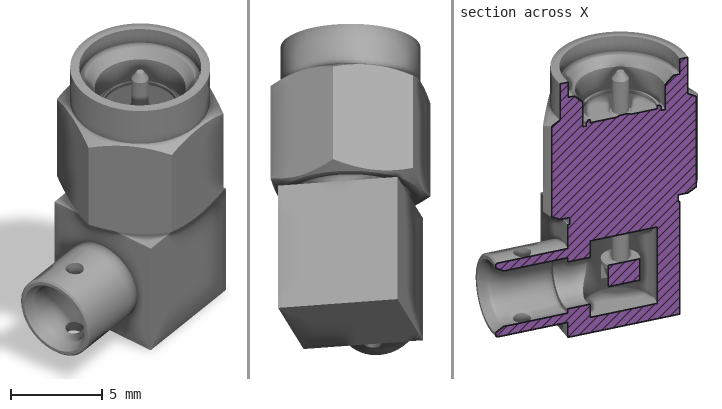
import math

import cadquery as cq


body_top = 7.15
nut_bottom = 7.55
nut_hex_top = 13.85
total_height = 16.15

body_width = 6.7
neck_diameter = 6.6

hex_across_flats = 8.0
hex_sides = 6
half_side_angle = 180 / hex_sides
hex_across_corners = hex_across_flats / math.cos(math.radians(half_side_angle))
nut_rim_radius = 3.85
nut_chamfer_angle = 30
nut_mouth_radius = 3.35
nut_mouth_depth = 0.95
nut_cone_radius = 3.0
nut_bore_radius = 2.5
nut_cone_depth = nut_cone_radius - nut_bore_radius
nut_bore_depth = 3.0

contact_radius = 2.3
contact_inner_radius = 2.05
contact_chamfer = 0.14
contact_top = 13.5
insulator_top = 13.3

pin_radius = 0.47
pin_top = 15.83
pin_tip_radius = 0.2
pin_tip_length = 0.42
shoulder_radius = 0.65
shoulder_chamfer = 0.08
pin_head_radius = 1.08
pin_head_bottom = 2.67
pin_head_top = 4.05
pin_slot_width = 1.0
pin_slot_top = 3.79

chamber_radius = contact_inner_radius
chamber_bottom = 1.0
chamber_top = 5.8

sleeve_axis_height = 3.3
sleeve_end = 7.65
sleeve_radius = 2.4
sleeve_edge_chamfer = 0.1
sleeve_cone_angle = 30
sleeve_mouth_radius = 2.1
sleeve_mouth_depth = 0.5
sleeve_bore_floor = body_width / 2
window_radius = 1.55
vent_diameter = 1.0
vent_offset = 5.85


def rod(radius, start, end):
    """Cylinder on the Z axis between two heights."""
    return cq.Workplane("XY").workplane(offset=start).circle(radius).extrude(end - start)


def turned(profile):
    """Solid of revolution about Z from (radius, height) points."""
    return cq.Workplane("XZ").polyline(profile).close().revolve(360, (0, 0), (0, 1))


def make_body():
    """Square block with the short round neck that carries the nut."""
    block = cq.Workplane("XY").box(body_width, body_width, body_top, centered=(True, True, False))
    return block.union(rod(neck_diameter / 2, body_top, nut_bottom))


def make_nut():
    """Hexagon with conically chamfered ends and a round rim above it, flats facing +X and -X."""
    hex_height = nut_hex_top - nut_bottom
    hexagon = (
        cq.Workplane("XY")
        .workplane(offset=nut_bottom)
        .polygon(hex_sides, hex_across_corners)
        .extrude(hex_height)
        .rotate((0, 0, 0), (0, 0, 1), half_side_angle)
    )
    corner_radius = hex_across_corners / 2
    corner_drop = (corner_radius - nut_rim_radius) * math.tan(math.radians(nut_chamfer_angle))
    chamfer_envelope = turned(
        [
            (0, nut_bottom),
            (nut_rim_radius, nut_bottom),
            (corner_radius, nut_bottom + corner_drop),
            (corner_radius, nut_hex_top - corner_drop),
            (nut_rim_radius, nut_hex_top),
            (0, nut_hex_top),
        ]
    )
    return hexagon.intersect(chamfer_envelope).union(rod(nut_rim_radius, nut_hex_top, total_height))


def make_nut_bore():
    """Opening of the nut: wide mouth, ledge, cone and straight bore."""
    ledge = total_height - nut_mouth_depth
    floor = total_height - nut_bore_depth
    return turned(
        [
            (0, floor),
            (nut_bore_radius, floor),
            (nut_bore_radius, ledge - nut_cone_depth),
            (nut_cone_radius, ledge),
            (nut_mouth_radius, ledge),
            (nut_mouth_radius, total_height),
            (0, total_height),
        ]
    )


def make_contact():
    """Outer contact tube, filled by the insulator up to just below its rim."""
    root = total_height - nut_bore_depth
    return turned(
        [
            (0, root),
            (contact_radius, root),
            (contact_radius, contact_top - contact_chamfer),
            (contact_radius - contact_chamfer, contact_top),
            (contact_inner_radius, contact_top),
            (contact_inner_radius, insulator_top),
            (0, insulator_top),
        ]
    )


def make_pin():
    """Centre pin with a low shoulder on the insulator and a slotted head in the chamber."""
    shoulder_top = insulator_top + shoulder_chamfer
    pin = turned(
        [
            (0, pin_head_bottom),
            (pin_head_radius, pin_head_bottom),
            (pin_head_radius, pin_head_top),
            (pin_radius, pin_head_top),
            (pin_radius, insulator_top),
            (shoulder_radius, insulator_top),
            (shoulder_radius - shoulder_chamfer, shoulder_top),
            (pin_radius, shoulder_top),
            (pin_radius, pin_top - pin_tip_length),
            (pin_tip_radius, pin_top),
            (0, pin_top),
        ]
    )
    slot = (
        cq.Workplane("XY")
        .workplane(offset=pin_head_bottom)
        .rect(pin_slot_width, 2 * pin_head_radius)
        .extrude(pin_slot_top - pin_head_bottom)
    )
    return pin.cut(slot)


def to_sleeve_axis(shape):
    """Lay a shape turned about Z onto the sleeve axis, +Z becoming -Y."""
    return shape.rotate((0, 0, 0), (1, 0, 0), 90).translate((0, 0, sleeve_axis_height))


def make_sleeve():
    """Solid sleeve with a chamfered outer edge at its free end."""
    return to_sleeve_axis(
        turned(
            [
                (0, sleeve_bore_floor),
                (sleeve_radius, sleeve_bore_floor),
                (sleeve_radius, sleeve_end - sleeve_edge_chamfer),
                (sleeve_radius - sleeve_edge_chamfer, sleeve_end),
                (0, sleeve_end),
            ]
        )
    )


def make_sleeve_bore():
    """Conical mouth, straight bore, and the smaller window into the chamber."""
    cone_inset = sleeve_mouth_depth * math.tan(math.radians(sleeve_cone_angle))
    bore_radius = sleeve_mouth_radius - cone_inset
    return to_sleeve_axis(
        turned(
            [
                (0, 0),
                (window_radius, 0),
                (window_radius, sleeve_bore_floor),
                (bore_radius, sleeve_bore_floor),
                (bore_radius, sleeve_end - sleeve_mouth_depth),
                (sleeve_mouth_radius, sleeve_end),
                (0, sleeve_end),
            ]
        )
    )


def make_vent():
    """Vertical hole through both walls of the sleeve."""
    return rod(vent_diameter / 2, 0, body_top).translate((0, -vent_offset, 0))


shell = make_body().union(make_nut()).cut(make_nut_bore()).union(make_contact())
shell = shell.union(make_sleeve()).cut(make_sleeve_bore()).cut(make_vent())
shell = shell.cut(rod(chamber_radius, chamber_bottom, chamber_top))
result = shell.union(make_pin())